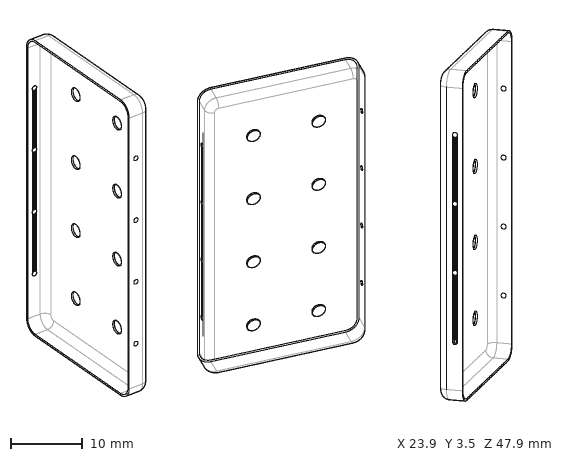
import cadquery as cq

width = 23.9
depth = 3.5
height = 47.9
sheet = 0.3
corner_radius = 2.0
outer_floor_fillet = 1.2
inner_floor_fillet = 1.05

hole_diameter = 2.0
hole_columns = 2
hole_rows = 4
hole_pitch_x = 9.65
hole_pitch_z = 11.0

dimple_count = 4
dimple_pitch = 10.0
dimple_from_rim = 1.15
dimple_radius = 0.36
dimple_depth = 0.2

open_y = -depth / 2
floor_y = depth / 2


def rounded_block(size_x, size_z, back_y, radius, back_fillet):
    """Block from the open side to back_y, with round corners and a filleted back edge."""
    block = cq.Workplane("XY").box(size_x, back_y - open_y, size_z)
    block = block.translate((0, (open_y + back_y) / 2, 0))
    return block.edges("|Y").fillet(radius).faces(">Y").edges().fillet(back_fillet)


def make_tray():
    outside = rounded_block(width, height, floor_y, corner_radius, outer_floor_fillet)
    cavity = rounded_block(
        width - 2 * sheet,
        height - 2 * sheet,
        floor_y - sheet,
        corner_radius - sheet,
        inner_floor_fillet,
    )
    return outside.cut(cavity)


def floor_holes():
    return (
        cq.Workplane("XZ", origin=(0, floor_y + sheet, 0))
        .rarray(hole_pitch_x, hole_pitch_z, hole_columns, hole_rows)
        .circle(hole_diameter / 2)
        .extrude(3 * sheet)
    )


def dimple_sphere(side, wall_x, z):
    """Sphere that cuts the wall face at wall_x in the dimple circle, reaching inward by its depth."""
    ball_radius = (dimple_radius**2 + dimple_depth**2) / (2 * dimple_depth)
    center_x = wall_x + ball_radius - dimple_depth
    return cq.Workplane("XY").sphere(ball_radius).translate((side * center_x, open_y + dimple_from_rim, z))


def press_dimples(tray):
    outer_x = width / 2
    inner_x = outer_x - sheet
    inside_space = cq.Workplane("XY").box(2 * inner_x, depth, height)
    for side in (-1, 1):
        for index in range(dimple_count):
            z = (index - (dimple_count - 1) / 2) * dimple_pitch
            bump = dimple_sphere(side, inner_x, z).intersect(inside_space)
            tray = tray.union(bump).cut(dimple_sphere(side, outer_x, z))
    return tray


result = press_dimples(make_tray().cut(floor_holes()))